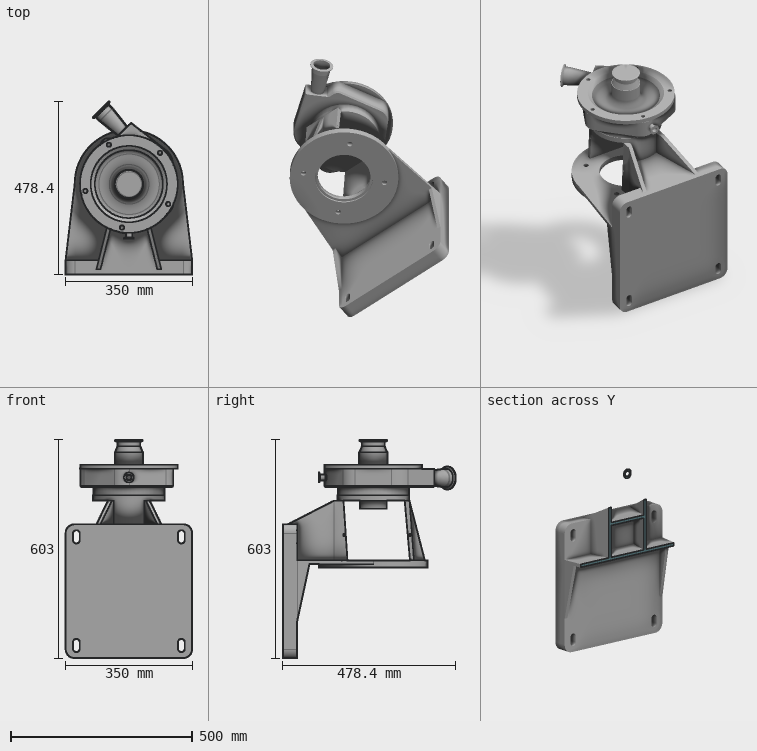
import cadquery as cq
import math


PLATE_WIDTH = 350.0
PLATE_HEIGHT = 370.0
PLATE_THICKNESS = 40.0
PLATE_FRONT_Y = -250.0
PLATE_BACK_Y = PLATE_FRONT_Y + PLATE_THICKNESS
PLATE_CORNER_RADIUS = 25.0
SLOT_WIDTH = 18.0
SLOT_LENGTH = 36.0
SLOT_SPACING_X = 290.0
SLOT_SPACING_Z = 300.0
SLOT_CENTRE_Z = 185.0

BASE_RADIUS = 150.0
BASE_THICKNESS = 20.0
BASE_TOP_Z = 270.0
BASE_BOTTOM_Z = BASE_TOP_Z - BASE_THICKNESS
BASE_OPENING_RADIUS = 73.0
BASE_COUNTERBORE_RADIUS = 80.0
BASE_COUNTERBORE_DEPTH = 5.0
BASE_BOLT_RADIUS = 113.0
BASE_BOLT_DIAMETER = 15.0
BASE_BOLT_COUNT = 4
BASE_BOLT_START_ANGLE = 45.0
WEB_THICKNESS = 10.0
WEB_BOTTOM_Z = BASE_TOP_Z - WEB_THICKNESS

BRACKET_THICKNESS = 10.0
BRACKET_TIP_Y = -176.0
BRACKET_BOTTOM_Z = 101.0

RING_RADIUS = 99.7
RING_BOTTOM_Z = 435.0
BACKING_RADIUS = 98.7
BACKING_BOTTOM_Z = 450.0
STUB_RADIUS = 37.3
STUB_LENGTH = 22.5

FRONT_LEG_HALF_WIDTH = 58.0
FRONT_LEG_INNER_Y_TOP = -82.0
FRONT_LEG_INNER_Y_BOTTOM = -71.0
RIB_BEND_Y = -108.7
RIB_START_Y = -80.0
RIB_END_Y = -235.5
RIB_END_HALF_SPAN = 89.6
RIB_WIDTH = 11.2
SHELF_THICKNESS = 10.0

BACK_LEG_HALF_WIDTH = 54.0
BACK_LEG_INNER_Y_TOP = 86.4
BACK_LEG_INNER_Y_BOTTOM = 101.0
BACK_LEG_OUTER_Y_TOP = 100.0
BACK_LEG_OUTER_Y_BOTTOM = 112.0
BACK_RIB_OUTER_Y_BOTTOM = 142.5
BACK_RIB_THICKNESS = 11.0

CROSS_HOLE_DIAMETER = 6.0
CROSS_HOLE_DEPTH = 15.0
CROSS_HOLE_Z = 340.0
FRONT_CROSS_HOLE_Y = -80.5
BACK_CROSS_HOLE_Y = 101.0

VOLUTE_BOTTOM_Z = 472.0
VOLUTE_TOP_Z = 523.0
VOLUTE_MID_Z = (VOLUTE_BOTTOM_Z + VOLUTE_TOP_Z) / 2
VOLUTE_EDGE_CHAMFER = 4.0
VOLUTE_CORNERS = (
    (-36.0, 127.0, 0),
    (-70.2, 127.0, 22.0),
    (-141.8, -20.2, 36.0),
    (-22.0, -143.0, 36.0),
    (122.8, -74.0, 36.0),
    (122.8, 77.5, 58.0),
    (6.0, 169.0, 0),
)

FLANGE_RADIUS = 135.0
FLANGE_TOP_Z = 534.5
FLANGE_BOLT_RADIUS = 121.6
FLANGE_BOLT_DIAMETER = 12.0
FLANGE_BOLT_COUNT = 5
FLANGE_BOLT_START_ANGLE = 45.0
RECESS_OPENING_RADIUS = 105.5
RECESS_WALL_FOOT_RADIUS = 94.0
RECESS_FLOOR_RADIUS = 83.5
RECESS_WALL_DEPTH = 9.0
RECESS_DEPTH = 17.0
HUB_FILLET_RADIUS = 15.0

FERRULE_BEVEL = 0.8

INLET_TOP_Z = 603.0
INLET_PIPE_RADIUS = 39.7
INLET_PIPE_TOP_Z = 568.5
INLET_REDUCER_BASE_RADIUS = 38.5
INLET_NECK_RADIUS = 32.0
INLET_NECK_BOTTOM_Z = 585.0
INLET_FERRULE_RADIUS = 38.75
INLET_FACE_RADIUS = 34.7
INLET_RIM_THICKNESS = 3.0
INLET_TAPER_HEIGHT = 3.0

OUTLET_ANGLE = 135.0
OUTLET_OFFSET = 90.95
OUTLET_FACE_DISTANCE = 115.5
OUTLET_COLLAR_LENGTH = 2.5
OUTLET_BASE_RADIUS = 18.5
OUTLET_NECK_RADIUS = 25.5
OUTLET_NECK_DISTANCE = 181.0
OUTLET_END_DISTANCE = 200.8
OUTLET_FERRULE_RADIUS = 32.0
OUTLET_FACE_RADIUS = 28.5
OUTLET_RIM_THICKNESS = 3.0
OUTLET_TAPER_LENGTH = 3.0
OUTLET_WALL = 2.0

DRAIN_Z = 499.0
DRAIN_BORE_START = 132.0
DRAIN_RADIUS = 8.7
DRAIN_FERRULE_RADIUS = 13.7
DRAIN_RIM_THICKNESS = 2.0
DRAIN_TAPER_LENGTH = 2.5
DRAIN_BORE_RADIUS = 7.0
DRAIN_END_DISTANCE = 151.0
DRAIN_ROOT_DISTANCE = 120.0


def extruded_x(points_yz, x_start, x_end):
    """Prism along X over a polygon of (Y, Z) points."""
    return cq.Workplane("YZ", origin=(x_start, 0, 0)).polyline(points_yz).close().extrude(x_end - x_start)


def extruded_z(points_xy, z_bottom, z_top):
    """Prism along Z over a polygon of (X, Y) points."""
    return cq.Workplane("XY", origin=(0, 0, z_bottom)).polyline(points_xy).close().extrude(z_top - z_bottom)


def cylinder(radius, z_bottom, z_top):
    return cq.Workplane("XY", origin=(0, 0, z_bottom)).circle(radius).extrude(z_top - z_bottom)


def bolt_holes(count, start_angle, pitch_radius, diameter, z_bottom, z_top):
    return (
        cq.Workplane("XY", origin=(0, 0, z_bottom))
        .polarArray(pitch_radius, start_angle, 360, count)
        .circle(diameter / 2)
        .extrude(z_top - z_bottom)
    )


def polar_point(radius, angle):
    return (radius * math.cos(math.radians(angle)), radius * math.sin(math.radians(angle)))


def mounting_plate():
    plate = (
        cq.Workplane("XY")
        .box(PLATE_WIDTH, PLATE_THICKNESS, PLATE_HEIGHT, centered=(True, False, False))
        .translate((0, PLATE_FRONT_Y, 0))
        .edges("|Y")
        .fillet(PLATE_CORNER_RADIUS)
    )
    slots = (
        cq.Workplane("XZ", origin=(0, PLATE_BACK_Y, SLOT_CENTRE_Z))
        .rarray(SLOT_SPACING_X, SLOT_SPACING_Z, 2, 2)
        .slot2D(SLOT_LENGTH, SLOT_WIDTH, 90)
        .extrude(PLATE_THICKNESS)
    )
    return plate.cut(slots)


def web_half_width(y):
    """Half width of the web, growing evenly from the disc to the mounting plate."""
    return BASE_RADIUS + (PLATE_WIDTH / 2 - BASE_RADIUS) * y / PLATE_BACK_Y


def base():
    web_outline = [
        (-BASE_RADIUS, 0),
        (-PLATE_WIDTH / 2, PLATE_BACK_Y),
        (PLATE_WIDTH / 2, PLATE_BACK_Y),
        (BASE_RADIUS, 0),
    ]
    body = cylinder(BASE_RADIUS, BASE_BOTTOM_Z, BASE_TOP_Z)
    body = body.union(extruded_z(web_outline, WEB_BOTTOM_Z, BASE_TOP_Z))
    body = body.cut(cylinder(BASE_OPENING_RADIUS, BASE_BOTTOM_Z, BASE_TOP_Z))
    counterbore_top_z = BASE_BOTTOM_Z + BASE_COUNTERBORE_DEPTH
    body = body.cut(cylinder(BASE_COUNTERBORE_RADIUS, BASE_BOTTOM_Z, counterbore_top_z))
    return body.cut(
        bolt_holes(
            BASE_BOLT_COUNT,
            BASE_BOLT_START_ANGLE,
            BASE_BOLT_RADIUS,
            BASE_BOLT_DIAMETER,
            BASE_BOTTOM_Z,
            BASE_TOP_Z,
        )
    )


def bracket(side):
    """Triangular bracket whose outer face is flush with the slanted web edge."""
    strip = []
    for inset, y in (
        (0, BRACKET_TIP_Y),
        (0, PLATE_BACK_Y),
        (BRACKET_THICKNESS, PLATE_BACK_Y),
        (BRACKET_THICKNESS, BRACKET_TIP_Y),
    ):
        strip.append((side * (web_half_width(y) - inset), y))
    triangle = [
        (BRACKET_TIP_Y, WEB_BOTTOM_Z),
        (PLATE_BACK_Y, BRACKET_BOTTOM_Z),
        (PLATE_BACK_Y, WEB_BOTTOM_Z),
    ]
    wedge = extruded_x(triangle, -PLATE_WIDTH / 2, PLATE_WIDTH / 2)
    return extruded_z(strip, BRACKET_BOTTOM_Z, WEB_BOTTOM_Z).intersect(wedge)


def rib_half_span(y):
    """Distance from the YZ plane to the outer face of the splayed part of a rib."""
    slope = (RIB_END_HALF_SPAN - FRONT_LEG_HALF_WIDTH) / (RIB_BEND_Y - RIB_END_Y)
    return FRONT_LEG_HALF_WIDTH + slope * (RIB_BEND_Y - y)


def front_rib(side):
    """Upright rib that splays from the side of the front leg to the top of the mounting plate."""
    rib_plan = [
        (side * FRONT_LEG_HALF_WIDTH, RIB_START_Y),
        (side * FRONT_LEG_HALF_WIDTH, RIB_BEND_Y),
        (side * RIB_END_HALF_SPAN, RIB_END_Y),
        (side * (RIB_END_HALF_SPAN - RIB_WIDTH), RIB_END_Y),
        (side * (rib_half_span(RIB_START_Y) - RIB_WIDTH), RIB_START_Y),
    ]
    rib_side = [
        (RIB_START_Y, BASE_TOP_Z),
        (PLATE_BACK_Y, BASE_TOP_Z),
        (PLATE_BACK_Y, PLATE_HEIGHT),
        (RIB_END_Y, PLATE_HEIGHT),
        (RIB_BEND_Y, RING_BOTTOM_Z),
        (RIB_START_Y, RING_BOTTOM_Z),
    ]
    side_prism = extruded_x(rib_side, -RIB_END_HALF_SPAN, RIB_END_HALF_SPAN)
    return extruded_z(rib_plan, BASE_TOP_Z, RING_BOTTOM_Z).intersect(side_prism)


def shelf():
    """Horizontal sheet between the ribs, level with the top of the mounting plate."""
    leg_end = rib_half_span(RIB_START_Y) - RIB_WIDTH
    plate_end = rib_half_span(PLATE_BACK_Y) - RIB_WIDTH
    outline = [
        (-leg_end, RIB_START_Y),
        (-plate_end, PLATE_BACK_Y),
        (plate_end, PLATE_BACK_Y),
        (leg_end, RIB_START_Y),
    ]
    return extruded_z(outline, PLATE_HEIGHT - SHELF_THICKNESS, PLATE_HEIGHT)


def leg_inner_cutter():
    """Space between the pump axis and the leaning inner face of the front leg."""
    clearance = [
        (0, BASE_TOP_Z),
        (FRONT_LEG_INNER_Y_BOTTOM, BASE_TOP_Z),
        (FRONT_LEG_INNER_Y_TOP, RING_BOTTOM_Z),
        (0, RING_BOTTOM_Z),
    ]
    return extruded_x(clearance, -RING_RADIUS, RING_RADIUS)


def front_leg():
    leg = cylinder(RING_RADIUS, BASE_TOP_Z, RING_BOTTOM_Z).intersect(
        cq.Workplane("XY")
        .box(2 * FRONT_LEG_HALF_WIDTH, RING_RADIUS, RING_BOTTOM_Z, centered=(True, False, False))
        .translate((0, -RING_RADIUS, 0))
    )
    for side in (-1, 1):
        leg = leg.union(front_rib(side))
    leg = leg.union(shelf())
    return leg.cut(leg_inner_cutter())


def back_leg():
    plate_profile = [
        (BACK_LEG_INNER_Y_BOTTOM, BASE_TOP_Z),
        (BACK_LEG_OUTER_Y_BOTTOM, BASE_TOP_Z),
        (BACK_LEG_OUTER_Y_TOP, RING_BOTTOM_Z),
        (BACK_LEG_INNER_Y_TOP, RING_BOTTOM_Z),
    ]
    rib_profile = [
        (BACK_LEG_INNER_Y_BOTTOM, BASE_TOP_Z),
        (BACK_RIB_OUTER_Y_BOTTOM, BASE_TOP_Z),
        (BACK_LEG_OUTER_Y_TOP, RING_BOTTOM_Z),
        (BACK_LEG_INNER_Y_TOP, RING_BOTTOM_Z),
    ]
    leg = extruded_x(plate_profile, -BACK_LEG_HALF_WIDTH, BACK_LEG_HALF_WIDTH)
    return leg.union(extruded_x(rib_profile, -BACK_RIB_THICKNESS / 2, BACK_RIB_THICKNESS / 2))


def cross_holes():
    holes = cq.Workplane("XY")
    for y, half_width in (
        (FRONT_CROSS_HOLE_Y, FRONT_LEG_HALF_WIDTH),
        (BACK_CROSS_HOLE_Y, BACK_LEG_HALF_WIDTH),
    ):
        for side in (-1, 1):
            hole = (
                cq.Workplane("YZ", origin=(side * half_width, y, CROSS_HOLE_Z))
                .circle(CROSS_HOLE_DIAMETER / 2)
                .extrude(-side * CROSS_HOLE_DEPTH)
            )
            holes = holes.union(hole)
    return holes


def volute():
    """Casing with flat sides and rounded corners, opening into a straight outlet block."""
    outline = [(x, y) for x, y, _ in VOLUTE_CORNERS]
    casing = extruded_z(outline, VOLUTE_BOTTOM_Z, VOLUTE_TOP_Z)
    for x, y, radius in VOLUTE_CORNERS:
        if radius > 0:
            corner_edge = cq.selectors.NearestToPointSelector((x, y, VOLUTE_MID_Z))
            casing = casing.edges(corner_edge).fillet(radius)
    outlet_face_edge = cq.selectors.ParallelDirSelector(cq.Vector(1, 1, 0))
    return casing.faces("<Z").edges(-outlet_face_edge).chamfer(VOLUTE_EDGE_CHAMFER)


def cover_flange():
    flange = cylinder(FLANGE_RADIUS, VOLUTE_TOP_Z, FLANGE_TOP_Z)
    return flange.cut(
        bolt_holes(
            FLANGE_BOLT_COUNT,
            FLANGE_BOLT_START_ANGLE,
            FLANGE_BOLT_RADIUS,
            FLANGE_BOLT_DIAMETER,
            VOLUTE_TOP_Z,
            FLANGE_TOP_Z,
        )
    )


def recess():
    """Dish around the inlet pipe: sloped wall, curved foot, flat floor and fillet up to the pipe."""
    floor_z = FLANGE_TOP_Z - RECESS_DEPTH
    hub_radius = INLET_PIPE_RADIUS + HUB_FILLET_RADIUS
    fillet_middle = HUB_FILLET_RADIUS * (1 - math.sqrt(0.5))
    return (
        cq.Workplane("XZ")
        .moveTo(INLET_PIPE_RADIUS, FLANGE_TOP_Z)
        .lineTo(INLET_PIPE_RADIUS, floor_z + HUB_FILLET_RADIUS)
        .threePointArc((INLET_PIPE_RADIUS + fillet_middle, floor_z + fillet_middle), (hub_radius, floor_z))
        .lineTo(RECESS_FLOOR_RADIUS, floor_z)
        .tangentArcPoint((RECESS_WALL_FOOT_RADIUS, FLANGE_TOP_Z - RECESS_WALL_DEPTH), relative=False)
        .lineTo(RECESS_OPENING_RADIUS, FLANGE_TOP_Z)
        .close()
        .revolve(360, (0, 0, 0), (0, 1, 0))
    )


def inlet_pipe():
    rim_bottom_z = INLET_TOP_Z - INLET_RIM_THICKNESS
    profile = [
        (0, VOLUTE_BOTTOM_Z),
        (INLET_PIPE_RADIUS, VOLUTE_BOTTOM_Z),
        (INLET_PIPE_RADIUS, INLET_PIPE_TOP_Z),
        (INLET_REDUCER_BASE_RADIUS, INLET_PIPE_TOP_Z),
        (INLET_NECK_RADIUS, INLET_NECK_BOTTOM_Z),
        (INLET_NECK_RADIUS, rim_bottom_z - INLET_TAPER_HEIGHT),
        (INLET_FERRULE_RADIUS, rim_bottom_z),
        (INLET_FERRULE_RADIUS, INLET_TOP_Z - FERRULE_BEVEL),
        (INLET_FACE_RADIUS, INLET_TOP_Z),
        (0, INLET_TOP_Z),
    ]
    return cq.Workplane("XZ").polyline(profile).close().revolve(360, (0, 0, 0), (0, 1, 0))


def revolved_along(plane, profile):
    """Solid of revolution about the X direction of a plane, from (distance, radius) points."""
    return cq.Workplane(plane).polyline(profile).close().revolve(360, (0, 0, 0), (1, 0, 0))


def outlet_plane():
    offset_x, offset_y = polar_point(OUTLET_OFFSET, OUTLET_ANGLE - 90)
    axis_x, axis_y = polar_point(1, OUTLET_ANGLE)
    return cq.Plane(origin=(offset_x, offset_y, VOLUTE_MID_Z), xDir=(axis_x, axis_y, 0), normal=(0, 0, 1))


def outlet_nozzle():
    collar_end = OUTLET_FACE_DISTANCE + OUTLET_COLLAR_LENGTH
    rim_start = OUTLET_END_DISTANCE - OUTLET_RIM_THICKNESS
    profile = [
        (OUTLET_FACE_DISTANCE - OUTLET_COLLAR_LENGTH, 0),
        (OUTLET_FACE_DISTANCE - OUTLET_COLLAR_LENGTH, OUTLET_BASE_RADIUS),
        (collar_end, OUTLET_BASE_RADIUS),
        (OUTLET_NECK_DISTANCE, OUTLET_NECK_RADIUS),
        (rim_start - OUTLET_TAPER_LENGTH, OUTLET_NECK_RADIUS),
        (rim_start, OUTLET_FERRULE_RADIUS),
        (OUTLET_END_DISTANCE - FERRULE_BEVEL, OUTLET_FERRULE_RADIUS),
        (OUTLET_END_DISTANCE, OUTLET_FACE_RADIUS),
        (OUTLET_END_DISTANCE, 0),
    ]
    return revolved_along(outlet_plane(), profile)


def outlet_bore():
    profile = [
        (OUTLET_FACE_DISTANCE, 0),
        (OUTLET_FACE_DISTANCE, OUTLET_BASE_RADIUS - OUTLET_WALL),
        (OUTLET_NECK_DISTANCE, OUTLET_NECK_RADIUS - OUTLET_WALL),
        (OUTLET_END_DISTANCE, OUTLET_NECK_RADIUS - OUTLET_WALL),
        (OUTLET_END_DISTANCE, 0),
    ]
    return revolved_along(outlet_plane(), profile)


def drain_plane():
    return cq.Plane(origin=(0, 0, DRAIN_Z), xDir=(0, -1, 0), normal=(0, 0, 1))


def drain_port():
    rim_start = DRAIN_END_DISTANCE - DRAIN_RIM_THICKNESS
    profile = [
        (DRAIN_ROOT_DISTANCE, 0),
        (DRAIN_ROOT_DISTANCE, DRAIN_RADIUS),
        (rim_start - DRAIN_TAPER_LENGTH, DRAIN_RADIUS),
        (rim_start, DRAIN_FERRULE_RADIUS),
        (DRAIN_END_DISTANCE, DRAIN_FERRULE_RADIUS),
        (DRAIN_END_DISTANCE, 0),
    ]
    return revolved_along(drain_plane(), profile)


def drain_bore():
    profile = [
        (DRAIN_BORE_START, 0),
        (DRAIN_BORE_START, DRAIN_BORE_RADIUS),
        (DRAIN_END_DISTANCE, DRAIN_BORE_RADIUS),
        (DRAIN_END_DISTANCE, 0),
    ]
    return revolved_along(drain_plane(), profile)


def pump():
    body = cylinder(RING_RADIUS, RING_BOTTOM_Z, BACKING_BOTTOM_Z)
    body = body.union(cylinder(BACKING_RADIUS, BACKING_BOTTOM_Z, VOLUTE_BOTTOM_Z))
    body = body.union(cylinder(STUB_RADIUS, RING_BOTTOM_Z - STUB_LENGTH, RING_BOTTOM_Z))
    body = body.union(volute())
    body = body.union(cover_flange())
    body = body.cut(recess())
    body = body.union(inlet_pipe())
    body = body.union(outlet_nozzle()).cut(outlet_bore())
    return body.union(drain_port()).cut(drain_bore())


def stand():
    body = mounting_plate().union(base())
    for side in (-1, 1):
        body = body.union(bracket(side))
    body = body.union(front_leg()).union(back_leg())
    return body.cut(cross_holes())


result = stand().union(pump())